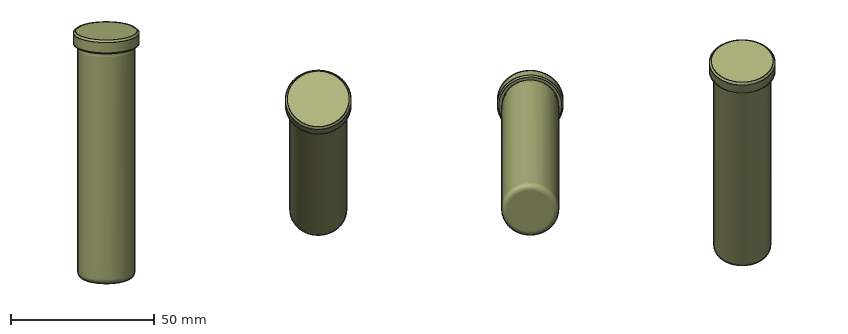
import cadquery as cq

length = 90.0
head_diameter = 23.0
head_height = 5.0
shank_diameter = 20.0
head_top_chamfer = 0.7
head_bottom_chamfer = 0.5
tip_rounding = 2.0

groove_depth = 0.1
groove_width = 1.4
groove_taper = 0.4

head_radius = head_diameter / 2
shank_radius = shank_diameter / 2
groove_radius = shank_radius - groove_depth
head_bottom = length - head_height
groove_bottom = head_bottom - groove_width


def make_shank():
    shank = cq.Workplane("XY").circle(shank_radius).extrude(head_bottom)
    return shank.faces("<Z").edges().fillet(tip_rounding)


def make_head():
    head = cq.Workplane("XY").workplane(offset=head_bottom).circle(head_radius).extrude(head_height)
    head = head.faces(">Z").edges().chamfer(head_top_chamfer)
    return head.faces("<Z").edges().chamfer(head_bottom_chamfer)


def make_groove():
    """Ring with a sloped lower flank, to be cut from the shank."""
    profile = (
        cq.Workplane("XZ")
        .moveTo(groove_radius, head_bottom)
        .lineTo(groove_radius, groove_bottom + groove_taper)
        .lineTo(shank_radius, groove_bottom)
        .lineTo(shank_radius, head_bottom)
        .close()
    )
    return profile.revolve(360, (0, 0, 0), (0, 1, 0))


result = make_shank().cut(make_groove()).union(make_head())